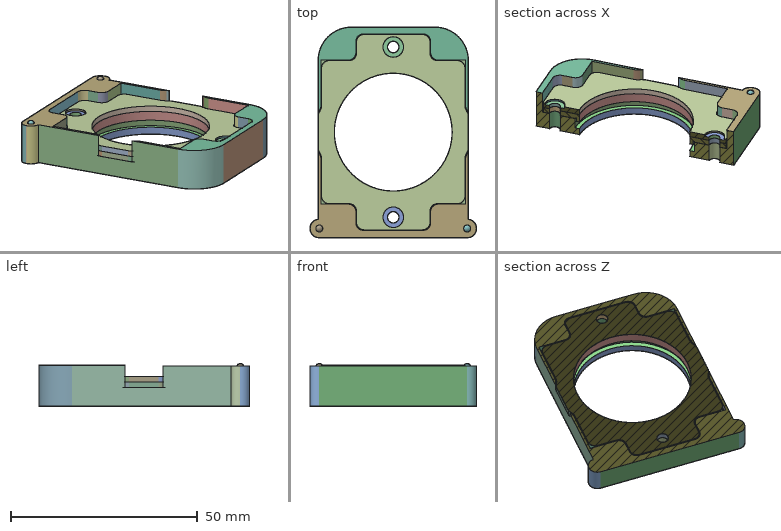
import cadquery as cq
import math


body_width = 40.3
back_edge_y = 28.15
front_edge_y = -28.3
back_corner_radius = 9.0
back_height = 11.0
front_height = 10.8

lobe_bar_width = 44.6
lobe_bar_depth = 5.0
lobe_corner_radius = 2.45
lobe_y = front_edge_y + lobe_bar_depth / 2
bump_x = 19.8
bump_radius = 1.0
bump_rise = 0.65

floor_z = 5.0
plate_thickness = 1.5
joint_z = floor_z + plate_thickness

square_half_x = 19.2
square_half_y = 19.15
end_tab_half_width = 9.85
end_tab_y = 26.15
side_tab_x = body_width / 2
side_tab_flat_half_length = 3.95
side_tab_radius = 3.0
corner_radius = 2.0
pocket_clearance = 0.15

bore_diameter = 31.5
collar_diameter = 33.5
collar_length = 1.0
recess_diameter = 34.0
recess_floor_z = 2.0

screw_y = 22.8
screw_diameter = 3.0
screw_head_diameter = 5.5
screw_head_depth = 0.5

screw_points = [(0, screw_y), (0, -screw_y)]


def box_between(x_size, y_start, y_end, z_start, z_end):
    """Box centred on X, spanning the given Y and Z ranges."""
    return (
        cq.Workplane("XY", origin=(0, 0, z_start))
        .center(0, (y_start + y_end) / 2)
        .rect(x_size, y_end - y_start)
        .extrude(z_end - z_start)
    )


def cylinders(points, diameter, z_start, z_end):
    """Upright cylinders at the given XY points."""
    return (
        cq.Workplane("XY", origin=(0, 0, z_start))
        .pushPoints(points)
        .circle(diameter / 2)
        .extrude(z_end - z_start)
    )


def side_tab_block(side, clearance, height):
    """Shallow side tab that blends into the square with two opposite arcs at each end."""
    tab_x = side_tab_x + clearance
    root_x = square_half_x + clearance
    turn = math.acos(1 - (tab_x - root_x) / (2 * side_tab_radius))

    outer_centre_x = tab_x - side_tab_radius
    flat_y = side_tab_flat_half_length + clearance

    def outer_arc(angle):
        return outer_centre_x + side_tab_radius * math.cos(angle), flat_y + side_tab_radius * math.sin(angle)

    inner_centre_x = root_x + side_tab_radius
    root_y = flat_y + (2 * side_tab_radius) * math.sin(turn)

    def inner_arc(angle):
        return inner_centre_x - side_tab_radius * math.cos(angle), root_y - side_tab_radius * math.sin(angle)

    def at(point, end):
        return side * point[0], end * point[1]

    return (
        cq.Workplane("XY")
        .moveTo(0, -root_y)
        .lineTo(side * root_x, -root_y)
        .threePointArc(at(inner_arc(turn / 2), -1), at(inner_arc(turn), -1))
        .threePointArc(at(outer_arc(turn / 2), -1), at(outer_arc(0), -1))
        .lineTo(*at(outer_arc(0), 1))
        .threePointArc(at(outer_arc(turn / 2), 1), at(outer_arc(turn), 1))
        .threePointArc(at(inner_arc(turn / 2), 1), at(inner_arc(0), 1))
        .lineTo(0, root_y)
        .close()
        .extrude(height)
    )


def plate_block(clearance, height, square_corners):
    """Solid with the plate outline grown by a clearance, standing on Z = 0."""
    square_x = square_half_x + clearance
    square_y = square_half_y + clearance
    tab_half_width = end_tab_half_width + clearance
    tab_y = end_tab_y + clearance
    square = cq.Workplane("XY").rect(2 * square_x, 2 * square_y).extrude(height)
    end_tabs = cq.Workplane("XY").rect(2 * tab_half_width, 2 * tab_y).extrude(height)
    block = square.union(end_tabs)

    def round_upright_edges(solid, x, y):
        """Round the four upright edges at (+-x, +-y)."""
        edge_points = [(sx * x, sy * y, height / 2) for sx in (-1, 1) for sy in (-1, 1)]
        edges = solid.edges("|Z")
        picked = [edges.edges(cq.selectors.NearestToPointSelector(point)).val() for point in edge_points]
        return solid.newObject(picked).fillet(corner_radius)

    block = round_upright_edges(block, tab_half_width, tab_y)
    block = round_upright_edges(block, tab_half_width, square_y)
    if not square_corners:
        block = round_upright_edges(block, square_x, square_y)
    for side in (-1, 1):
        block = block.union(side_tab_block(side, clearance, height))
    return block


def make_housing():
    """Housing block with hinge lobes, bumps, plate pocket and stepped bore."""
    back = box_between(body_width, 0, back_edge_y, 0, back_height)
    back = back.edges("|Z and >Y").fillet(back_corner_radius)
    front = box_between(body_width, lobe_y, 0, 0, front_height)
    lobe_bar = box_between(lobe_bar_width, front_edge_y, front_edge_y + lobe_bar_depth, 0, front_height)
    lobe_bar = lobe_bar.edges("|Z").fillet(lobe_corner_radius)
    body = back.union(front).union(lobe_bar)

    bump_centre_z = front_height + bump_rise - bump_radius
    bumps = (
        cq.Workplane("XY", origin=(0, 0, bump_centre_z))
        .pushPoints([(-bump_x, lobe_y), (bump_x, lobe_y)])
        .sphere(bump_radius)
    )
    body = body.union(bumps)

    pocket = plate_block(pocket_clearance, back_height - floor_z, square_corners=True)
    body = body.cut(pocket.translate((0, 0, floor_z)))
    body = body.cut(cylinders([(0, 0)], recess_diameter, recess_floor_z, floor_z))
    body = body.cut(cylinders([(0, 0)], bore_diameter, 0, recess_floor_z))
    return body.cut(cylinders(screw_points, screw_diameter, 0, floor_z))


def make_plate():
    """Flat plate with the large bore and the two screw holes, standing on Z = 0."""
    plate = plate_block(0, plate_thickness, square_corners=False)
    plate = plate.cut(cylinders([(0, 0)], bore_diameter, 0, plate_thickness))
    return plate.cut(cylinders(screw_points, screw_diameter, 0, plate_thickness))


def make_lower_plate():
    """Plate with a collar that drops into the housing recess."""
    collar = cylinders([(0, 0)], collar_diameter, -collar_length, 0)
    collar = collar.cut(cylinders([(0, 0)], bore_diameter, -collar_length, 0))
    return make_plate().union(collar).translate((0, 0, floor_z))


def make_upper_plate():
    """Plate with shallow counterbores for the screw heads."""
    head_floor_z = plate_thickness - screw_head_depth
    heads = cylinders(screw_points, screw_head_diameter, head_floor_z, plate_thickness)
    return make_plate().cut(heads).translate((0, 0, joint_z))


housing = make_housing()
lower_plate = make_lower_plate()
upper_plate = make_upper_plate()

result = cq.Compound.makeCompound([housing.val(), lower_plate.val(), upper_plate.val()])